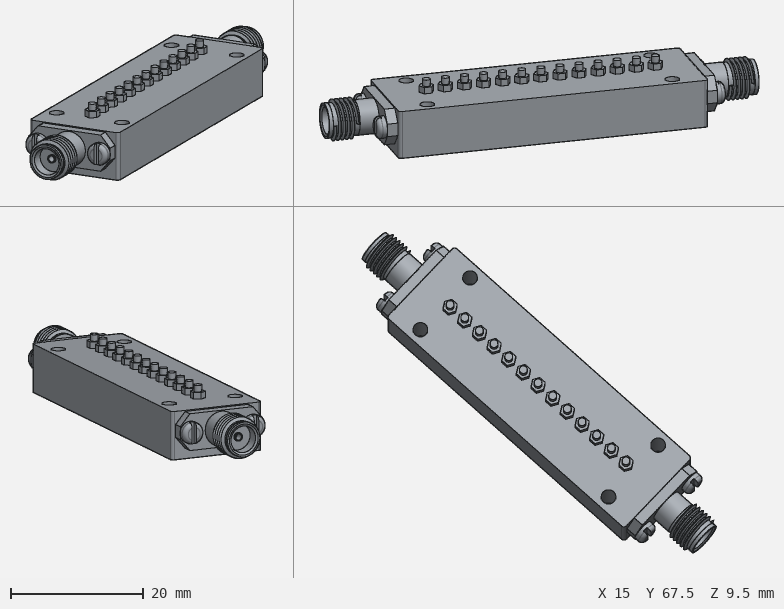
import cadquery as cq
import math

BODY_WIDTH = 15.0
BODY_LENGTH = 48.6
BODY_HEIGHT = 7.5
CORNER_RADIUS = 0.5

MOUNT_HOLE_DIAMETER = 2.2
MOUNT_HOLE_SPACING_X = 11.0
MOUNT_HOLE_SPACING_Y = 38.5

STUD_COUNT = 13
STUD_PITCH = 3.0
STUD_ROW_CENTER_Y = -0.25
STUD_DIAMETER = 1.2
STUD_HEIGHT = 2.0
NUT_ACROSS_FLATS = 1.95
NUT_HEIGHT = 1.0

OVERALL_LENGTH = 67.5
CONNECTOR_LENGTH = (OVERALL_LENGTH - BODY_LENGTH) / 2
CONNECTOR_AXIS_Z = 4.48
FLANGE_WIDTH = 13.7
FLANGE_HEIGHT = 5.7
FLANGE_THICKNESS = 1.65
FLANGE_BEVEL_X = 1.6
FLANGE_BEVEL_Z = 1.85

SCREW_SPACING = 10.4
SCREW_HEAD_DIAMETER = 3.4
SCREW_HEAD_HEIGHT = 1.4
SCREW_HEAD_ROUNDING = 0.7
SCREW_SLOT_WIDTH = 0.75
SCREW_SLOT_DEPTH = 0.85

BARREL_DIAMETER = 5.4
BORE_DIAMETER = 4.1
MOUTH_DIAMETER = 4.8
MOUTH_DEPTH = 0.2
BORE_DEPTH = 2.1
CONTACT_DIAMETER = 1.27
CONTACT_HEIGHT = 0.3
SOCKET_DIAMETER = 0.94
SOCKET_DEPTH = 1.5

THREAD_DIAMETER = 6.35
THREAD_PITCH = 0.7
THREAD_TURNS = 5
THREAD_BASE_WIDTH = 0.56
THREAD_ROOT_DIAMETER = 5.3
THREAD_OVERLAP = 0.1
THREAD_END_SETBACK = 0.95
THREAD_RELIEF_SETBACK = 0.6
THREAD_START_ANGLE = 180.0
THREAD_RELIEF_LENGTH = 4.2


def make_body():
    """Housing block with rounded vertical edges and four mounting holes."""
    body = (
        cq.Workplane("XY")
        .box(BODY_WIDTH, BODY_LENGTH, BODY_HEIGHT, centered=(True, True, False))
        .edges("|Z")
        .fillet(CORNER_RADIUS)
    )
    holes = (
        cq.Workplane("XY")
        .rect(MOUNT_HOLE_SPACING_X, MOUNT_HOLE_SPACING_Y, forConstruction=True)
        .vertices()
        .circle(MOUNT_HOLE_DIAMETER / 2)
        .extrude(BODY_HEIGHT)
    )
    return body.cut(holes)


def make_studs():
    """Row of studs along Y, each with a hexagonal nut whose corners point along Y."""
    nut_across_corners = NUT_ACROSS_FLATS / math.cos(math.pi / 6)
    row = (
        cq.Workplane("XY", origin=(0, STUD_ROW_CENTER_Y, BODY_HEIGHT))
        .transformed(rotate=(0, 0, 90))
        .rarray(STUD_PITCH, 1, STUD_COUNT, 1)
    )
    nuts = row.polygon(6, nut_across_corners).extrude(NUT_HEIGHT)
    studs = row.circle(STUD_DIAMETER / 2).extrude(STUD_HEIGHT)
    return nuts.union(studs)


def make_flange():
    """Octagonal plate on the local XY plane."""
    half_width = FLANGE_WIDTH / 2
    half_height = FLANGE_HEIGHT / 2
    top_x = half_width - FLANGE_BEVEL_X
    side_y = half_height - FLANGE_BEVEL_Z
    outline = [
        (top_x, half_height),
        (half_width, side_y),
        (half_width, -side_y),
        (top_x, -half_height),
        (-top_x, -half_height),
        (-half_width, -side_y),
        (-half_width, side_y),
        (-top_x, half_height),
    ]
    return cq.Workplane("XY").polyline(outline).close().extrude(FLANGE_THICKNESS)


def make_screw_head(x):
    """Slotted screw head with a rounded rim, standing on the flange at x."""
    head = (
        cq.Workplane("XY", origin=(x, 0, FLANGE_THICKNESS))
        .circle(SCREW_HEAD_DIAMETER / 2)
        .extrude(SCREW_HEAD_HEIGHT)
        .faces(">Z")
        .edges()
        .fillet(SCREW_HEAD_ROUNDING)
    )
    slot_floor = FLANGE_THICKNESS + SCREW_HEAD_HEIGHT - SCREW_SLOT_DEPTH
    slot = (
        cq.Workplane("XY", origin=(x, 0, slot_floor))
        .rect(SCREW_SLOT_WIDTH, SCREW_HEAD_DIAMETER)
        .extrude(SCREW_SLOT_DEPTH)
    )
    return head.cut(slot)


def make_thread():
    """Triangular ridge swept along a helix around the barrel."""
    root_radius = THREAD_ROOT_DIAMETER / 2 - THREAD_OVERLAP
    crest_radius = THREAD_DIAMETER / 2
    helix_height = THREAD_PITCH * THREAD_TURNS
    helix = cq.Wire.makeHelix(THREAD_PITCH, helix_height, root_radius)
    ridge = (
        cq.Workplane("XZ")
        .moveTo(root_radius, -THREAD_BASE_WIDTH / 2)
        .lineTo(crest_radius, 0)
        .lineTo(root_radius, THREAD_BASE_WIDTH / 2)
        .close()
        .sweep(cq.Workplane(helix), isFrenet=True)
    )
    start_z = CONNECTOR_LENGTH - THREAD_END_SETBACK - helix_height
    return ridge.rotate((0, 0, 0), (0, 0, 1), THREAD_START_ANGLE).translate((0, 0, start_z))


def make_thread_relief():
    """Thin ring that narrows the barrel to the thread root."""
    relief_start = CONNECTOR_LENGTH - THREAD_RELIEF_SETBACK - THREAD_RELIEF_LENGTH
    return (
        cq.Workplane("XY", origin=(0, 0, relief_start))
        .circle(BARREL_DIAMETER / 2)
        .circle(THREAD_ROOT_DIAMETER / 2)
        .extrude(THREAD_RELIEF_LENGTH)
    )


def make_barrel():
    """Threaded barrel with an open, flared bore and a tubular centre contact."""
    bore_floor = CONNECTOR_LENGTH - BORE_DEPTH
    barrel = cq.Workplane("XY").circle(BARREL_DIAMETER / 2).extrude(CONNECTOR_LENGTH)
    barrel = barrel.cut(make_thread_relief()).union(make_thread())
    bore = (
        cq.Workplane("XY", origin=(0, 0, bore_floor))
        .circle(BORE_DIAMETER / 2)
        .extrude(BORE_DEPTH)
    )
    mouth = (
        cq.Workplane("XY", origin=(0, 0, CONNECTOR_LENGTH - MOUTH_DEPTH))
        .circle(BORE_DIAMETER / 2)
        .workplane(offset=MOUTH_DEPTH)
        .circle(MOUTH_DIAMETER / 2)
        .loft()
    )
    contact = (
        cq.Workplane("XY", origin=(0, 0, bore_floor))
        .circle(CONTACT_DIAMETER / 2)
        .extrude(CONTACT_HEIGHT)
    )
    socket = (
        cq.Workplane("XY", origin=(0, 0, bore_floor + CONTACT_HEIGHT - SOCKET_DEPTH))
        .circle(SOCKET_DIAMETER / 2)
        .extrude(SOCKET_DEPTH)
    )
    return barrel.cut(bore).cut(mouth).union(contact).cut(socket)


def make_connector():
    """Connector on the -Y end of the housing, pointing along -Y."""
    connector = make_flange().union(make_barrel())
    for side in (-1, 1):
        connector = connector.union(make_screw_head(side * SCREW_SPACING / 2))
    return connector.rotate((0, 0, 0), (1, 0, 0), 90).translate(
        (0, -BODY_LENGTH / 2, CONNECTOR_AXIS_Z)
    )


front_connector = make_connector()
rear_connector = front_connector.rotate(
    (0, 0, CONNECTOR_AXIS_Z), (1, 0, CONNECTOR_AXIS_Z), 180
)

result = make_body().union(make_studs()).union(front_connector).union(rear_connector)